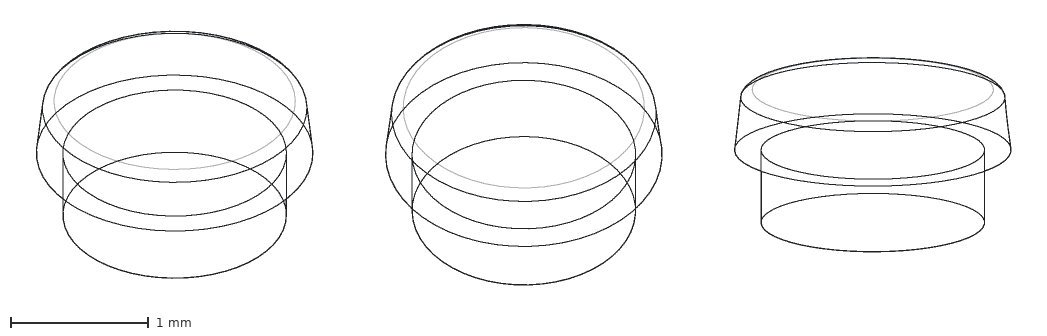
import cadquery as cq
import math

overall_height = 1.0
stem_height = 0.547
stem_radius = 0.812
head_base_radius = 1.005
rim_radius = 0.96
top_face_radius = 0.876
rim_height = 0.056

rim_width = rim_radius - top_face_radius
arc_radius = (rim_width**2 + rim_height**2) / (2 * rim_height)
half_sweep = math.atan2(rim_height, rim_width)
arc_middle = (
    top_face_radius + arc_radius * math.sin(half_sweep),
    overall_height - arc_radius * (1 - math.cos(half_sweep)),
)

profile = (
    cq.Workplane("XZ")
    .lineTo(stem_radius, 0)
    .lineTo(stem_radius, stem_height)
    .lineTo(head_base_radius, stem_height)
    .lineTo(rim_radius, overall_height - rim_height)
    .threePointArc(arc_middle, (top_face_radius, overall_height))
    .lineTo(0, overall_height)
    .close()
)

result = profile.revolve(360, (0, 0), (0, 1))